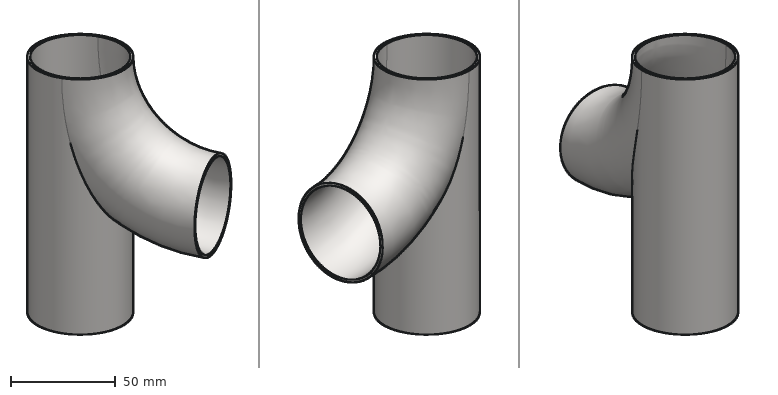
import cadquery as cq

outer_diameter = 50.8
inner_diameter = 47.8
pipe_length = 135.0
bend_radius = pipe_length / 2
bend_angle = 90.0

seam_drop = pipe_length
seam_reach = seam_drop**2 / (4 * bend_radius)
branch_side_x = bend_radius + outer_diameter


def ring(height):
    """Pipe cross-section, centred on the Z axis at the given height."""
    return (
        cq.Workplane("XY", origin=(0, 0, height))
        .circle(outer_diameter / 2)
        .circle(inner_diameter / 2)
    )


def branch_region():
    """Block on the branch side of the parabolic seam, wider than the pipes."""
    seam = [
        (0, pipe_length),
        (0, pipe_length - seam_drop / 2),
        (seam_reach, pipe_length - seam_drop),
    ]
    return (
        cq.Workplane("XZ")
        .moveTo(*seam[0])
        .bezier(seam)
        .lineTo(branch_side_x, pipe_length - seam_drop)
        .lineTo(branch_side_x, pipe_length)
        .close()
        .extrude(outer_diameter, both=True)
    )


straight_run = ring(0).extrude(pipe_length)

elbow = ring(pipe_length).revolve(bend_angle, (bend_radius, 0, 0), (bend_radius, -1, 0))

result = straight_run.cut(branch_region()).union(elbow.intersect(branch_region()))